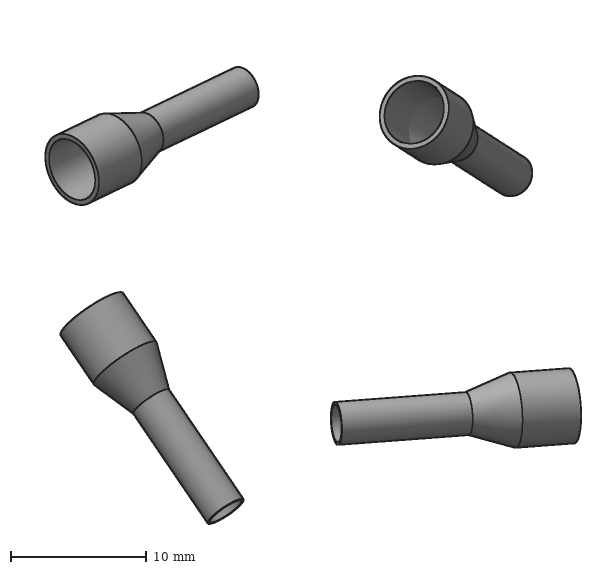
import cadquery as cq

total_length = 18.0
sleeve_length = 4.5
cone_length = 3.5

sleeve_outer_radius = 5.6 / 2
sleeve_inner_radius = 4.8 / 2
tube_outer_radius = 3.2 / 2
tube_inner_radius = 2.8 / 2

mouth_y = 0.0
cone_start_y = mouth_y + sleeve_length
cone_end_y = cone_start_y + cone_length
tube_end_y = mouth_y + total_length


def revolved_solid(sleeve_radius, tube_radius):
    """Solid of a cylindrical sleeve, a cone and a narrow tube in line."""
    half_profile = [
        (0, mouth_y),
        (sleeve_radius, mouth_y),
        (sleeve_radius, cone_start_y),
        (tube_radius, cone_end_y),
        (tube_radius, tube_end_y),
        (0, tube_end_y),
    ]
    return cq.Workplane("XY").polyline(half_profile).close().revolve(360, (0, 0, 0), (0, 1, 0))


outer_body = revolved_solid(sleeve_outer_radius, tube_outer_radius)
bore = revolved_solid(sleeve_inner_radius, tube_inner_radius)

result = outer_body.cut(bore)